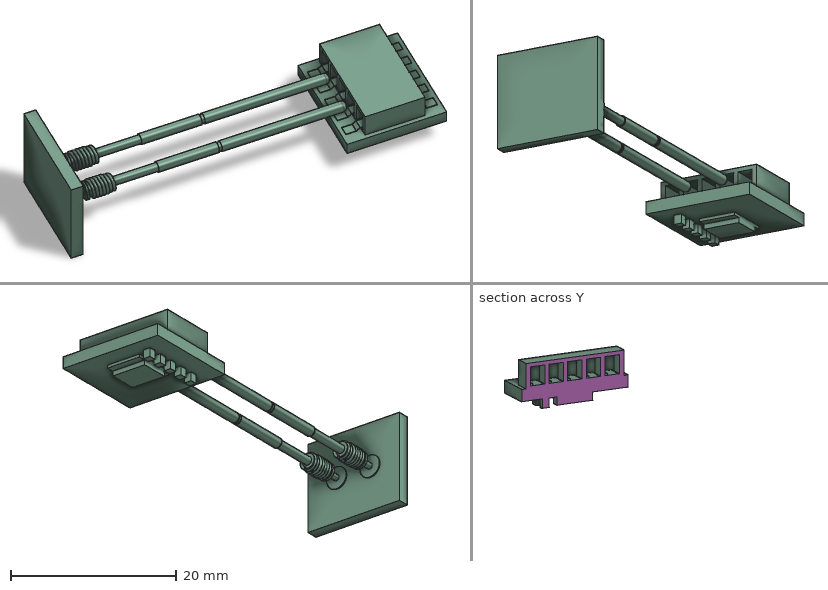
import cadquery as cq

OVERLAP = 0.05
TOTAL_LENGTH = 49.8
CONTACT_PITCH = 2.55

BOARD_WIDTH = 14.5
BOARD_LENGTH = 13.25
BOARD_THICKNESS = 1.6
BOARD_TOP = -1.55
BOARD_BOTTOM = BOARD_TOP - BOARD_THICKNESS
BOARD_CENTRE_Y = TOTAL_LENGTH - BOARD_LENGTH / 2

HOUSING_WIDTH = 13.4
HOUSING_LENGTH = 7.95
HOUSING_HEIGHT = 3.2
POCKET_COUNT = 5
DIVIDER = 0.65
POCKET_WIDTH = CONTACT_PITCH - DIVIDER
POCKET_FLOOR = 0.3
ROOF = 0.55
POCKET_HEIGHT = HOUSING_HEIGHT - POCKET_FLOOR - ROOF
BACK_WALL = ROOF
POCKET_DEPTH = HOUSING_LENGTH - BACK_WALL

TAIL_WIDTH = 1.25
TAIL_THICKNESS = 0.1
TAIL_MARGIN = 0.55
TAIL_FLAT = 1.4
TAIL_RAMP = 0.5
TAIL_RISE = 0.5
TAIL_REACH = 2.0

POST_COUNT = 5
POST_PITCH = 2.05
POST_SIDE = 1.0
POST_HEIGHT = 1.2
POST_ROW_X = -4.0
CHIP_LENGTH = 4.9
CHIP_WIDTH = 3.9
CHIP_HEIGHT = 1.05
CHIP_OFFSET_Y = 1.05
LEAD_SPAN = 6.0
LEAD_HEIGHT = 0.4

PLATE_WIDTH = 14.0
PLATE_HEIGHT = 12.0
PLATE_THICKNESS = 1.6
PAD_RADIUS = 1.5
PAD_THICKNESS = 0.15

PROBE_COUNT = 2
PROBE_SPACING = 2 * CONTACT_PITCH
STEM_RADIUS = 0.425
NECK_RADIUS = 0.575
BARREL_RADIUS = 0.7
GROOVE_RADIUS = 0.6
GROOVE_WIDTH = 0.4
GROOVE_Y = 21.6
BARREL_START = 13.4
TIP_END = 38.5
TIP_ROUNDING = 0.55

WRAP_START = 3.65
FLANGE_RADIUS = 1.2
FLANGE_WIDTH = 0.35
FLANGE_GAP = 0.1
CORE_RADIUS = 1.0
WIRE_RADIUS = 0.21
WIRE_PITCH = 0.45
WIDE_COIL_OUTER_RADIUS = 1.3
WIDE_COIL_RADIUS = WIDE_COIL_OUTER_RADIUS - WIRE_RADIUS
WIDE_COIL_TURNS = 5.0
WIDE_COIL_START = WRAP_START + FLANGE_WIDTH + FLANGE_GAP + WIRE_RADIUS
NARROW_COIL_RADIUS = FLANGE_RADIUS - WIRE_RADIUS
NARROW_COIL_TURNS = 1.9
COIL_GAP_TURNS = 0.05
NARROW_COIL_START = WIDE_COIL_START + (WIDE_COIL_TURNS + COIL_GAP_TURNS) * WIRE_PITCH
WRAP_END = NARROW_COIL_START + NARROW_COIL_TURNS * WIRE_PITCH
FULL_TURN = 360
LOWEST_POINT = 180


def block(width, length, height, x, y, bottom):
    """Box centred on x and y that stands on the level `bottom`."""
    box = cq.Workplane("XY").box(width, length, height, centered=(True, True, False))
    return box.translate((x, y, bottom))


def row(count, pitch):
    """Evenly spaced positions centred on zero."""
    return [(i - (count - 1) / 2) * pitch for i in range(count)]


def socket_housing():
    """Block with a row of pockets open to the front."""
    housing = block(HOUSING_WIDTH, HOUSING_LENGTH, HOUSING_HEIGHT, 0, BOARD_CENTRE_Y, BOARD_TOP)
    pocket_y = BOARD_CENTRE_Y - HOUSING_LENGTH / 2 + POCKET_DEPTH / 2
    for x in row(POCKET_COUNT, CONTACT_PITCH):
        pocket = block(POCKET_WIDTH, POCKET_DEPTH, POCKET_HEIGHT, x, pocket_y, BOARD_TOP + POCKET_FLOOR)
        housing = housing.cut(pocket)
    return housing


def contact_tail(x):
    """Front tail: flat on the board, then sloping up and level into the housing."""
    tip = BOARD_CENTRE_Y - BOARD_LENGTH / 2 + TAIL_MARGIN
    ramp_start = tip + TAIL_FLAT
    ramp_end = ramp_start + TAIL_RAMP
    inside = BOARD_CENTRE_Y - HOUSING_LENGTH / 2 + TAIL_REACH
    raised = BOARD_TOP + TAIL_RISE
    return (
        cq.Workplane("YZ")
        .moveTo(tip, BOARD_TOP)
        .lineTo(ramp_start, BOARD_TOP)
        .lineTo(ramp_end, raised - TAIL_THICKNESS)
        .lineTo(inside, raised - TAIL_THICKNESS)
        .lineTo(inside, raised)
        .lineTo(ramp_end, raised)
        .lineTo(ramp_start, BOARD_TOP + TAIL_THICKNESS)
        .lineTo(tip, BOARD_TOP + TAIL_THICKNESS)
        .close()
        .extrude(TAIL_WIDTH / 2, both=True)
        .translate((x, 0, 0))
    )


def underside_parts():
    """Row of square posts beside a chip with low leads along both long sides."""
    chip_y = BOARD_CENTRE_Y + CHIP_OFFSET_Y
    parts = block(CHIP_LENGTH, CHIP_WIDTH, CHIP_HEIGHT, 0, chip_y, BOARD_BOTTOM - CHIP_HEIGHT)
    parts = parts.union(block(CHIP_LENGTH, LEAD_SPAN, LEAD_HEIGHT, 0, chip_y, BOARD_BOTTOM - LEAD_HEIGHT))
    for y in row(POST_COUNT, POST_PITCH):
        post_y = BOARD_CENTRE_Y + y
        parts = parts.union(
            block(POST_SIDE, POST_SIDE, POST_HEIGHT, POST_ROW_X, post_y, BOARD_BOTTOM - POST_HEIGHT)
        )
    return parts


def socket_board():
    """Board with its housing, contact tails and underside parts."""
    board = block(BOARD_WIDTH, BOARD_LENGTH, BOARD_THICKNESS, 0, BOARD_CENTRE_Y, BOARD_BOTTOM)
    board = board.union(socket_housing()).union(underside_parts())
    for x in row(POCKET_COUNT, CONTACT_PITCH):
        front_tail = contact_tail(x)
        rear_tail = front_tail.mirror("XZ", (0, BOARD_CENTRE_Y, 0))
        board = board.union(front_tail).union(rear_tail)
    return board


def rod(radius, start, end):
    """Cylinder on the probe axis between two Y positions."""
    return cq.Workplane("XZ", origin=(0, start, 0)).circle(radius).extrude(start - end)


def wire_coil(radius, start, turns, start_angle):
    """Right-handed coil of round wire around the probe axis."""
    axis = cq.Vector(0, 1, 0)
    centre = cq.Vector(0, start, 0)
    path = cq.Wire.makeHelix(WIRE_PITCH, turns * WIRE_PITCH, radius, centre, axis)
    return (
        cq.Workplane(cq.Plane(path.startPoint(), normal=path.tangentAt(0)))
        .circle(WIRE_RADIUS)
        .sweep(cq.Workplane(obj=path), isFrenet=True)
        .rotate((0, 0, 0), (0, 1, 0), start_angle)
    )


def wire_wrap():
    """Flanged core wound with a wide coil and then a narrow one."""
    wrap = rod(CORE_RADIUS, WRAP_START, WRAP_END)
    wrap = wrap.union(rod(FLANGE_RADIUS, WRAP_START, WRAP_START + FLANGE_WIDTH))
    wide_coil = wire_coil(WIDE_COIL_RADIUS, WIDE_COIL_START, WIDE_COIL_TURNS, LOWEST_POINT)
    narrow_coil_angle = LOWEST_POINT + FULL_TURN * (WIDE_COIL_TURNS + COIL_GAP_TURNS)
    narrow_coil = wire_coil(NARROW_COIL_RADIUS, NARROW_COIL_START, NARROW_COIL_TURNS, narrow_coil_angle)
    return wrap.union(wide_coil).union(narrow_coil)


def probe():
    """Stepped probe on the Y axis with a rounded tip, a barrel groove, a wire wrap and a solder pad."""
    barrel = rod(BARREL_RADIUS, BARREL_START, TIP_END).faces(">Y").edges().fillet(TIP_ROUNDING)
    groove_start = GROOVE_Y - GROOVE_WIDTH / 2
    groove_end = GROOVE_Y + GROOVE_WIDTH / 2
    groove = rod(BARREL_RADIUS, groove_start, groove_end).cut(rod(GROOVE_RADIUS, groove_start, groove_end))
    pad = rod(PAD_RADIUS, PLATE_THICKNESS - OVERLAP, PLATE_THICKNESS + PAD_THICKNESS)
    stem = rod(STEM_RADIUS, PLATE_THICKNESS - OVERLAP, WRAP_START + OVERLAP)
    neck = rod(NECK_RADIUS, WRAP_END - OVERLAP, BARREL_START)
    return barrel.cut(groove).union(neck).union(stem).union(pad).union(wire_wrap())


def probe_plate():
    """Upright plate carrying the probes."""
    plate = block(PLATE_WIDTH, PLATE_THICKNESS, PLATE_HEIGHT, 0, PLATE_THICKNESS / 2, -PLATE_HEIGHT / 2)
    single_probe = probe()
    for x in row(PROBE_COUNT, PROBE_SPACING):
        plate = plate.union(single_probe.translate((x, 0, 0)))
    return plate


socket = socket_board()
plate_with_probes = probe_plate()
result = cq.Compound.makeCompound([socket.val(), plate_with_probes.val()])